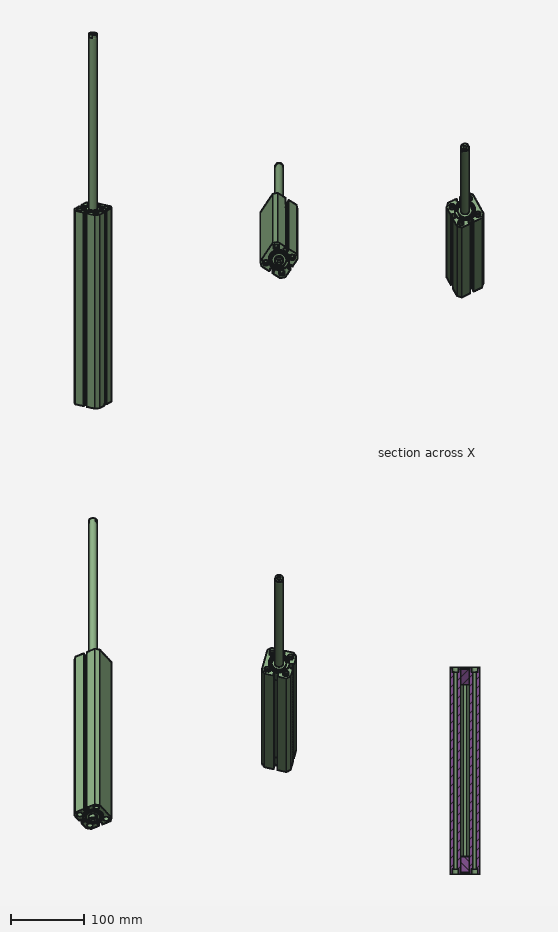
import cadquery as cq
import math

TOTAL_LENGTH = 545.0

HOUSING_WIDTH = 41.0
HOUSING_LENGTH = 283.0
HOUSING_BOTTOM = 6.5
HOUSING_TOP = HOUSING_BOTTOM + HOUSING_LENGTH
HOUSING_MIDDLE = (HOUSING_BOTTOM + HOUSING_TOP) / 2
CORNER_CHAMFER = 5.0

SLOT_MOUTH_WIDTH = 5.0
SLOT_INNER_WIDTH = 7.0
SLOT_FLOOR_WIDTH = 5.0
SLOT_LIP = 2.0
SLOT_DEPTH = 6.0
SLOT_ANGLES = (0, 180, 270)

HOLE_SPACING = 26.0
HOLE_DIAMETER = 4.5
COUNTERBORE_DIAMETER = 8.0
COUNTERBORE_DEPTH = 7.0

BORE_DIAMETER = 28.5

ROD_DIAMETER = 12.0
ROD_END_DIAMETER = 11.5
ROD_END_LENGTH = 4.5
ROD_END_CHAMFER = 0.25
SHOULDER_LENGTH = 1.0
WRENCH_WIDTH = 10.5
ROD_HOLE_DIAMETER = 5.0
ROD_HOLE_DEPTH = 12.0
DRILL_POINT_ANGLE = 118

COLLAR_LENGTH = 22.0
NOSE_DIAMETER = 19.5
NOSE_LENGTH = 2.5

RING_THICKNESS = 1.0
RING_WIDTH = 2.0
EAR_RADIUS = (BORE_DIAMETER - NOSE_DIAMETER) / 4
EAR_HOLE_DIAMETER = 1.5
EAR_ANGLE = 35

RING_SEAT = HOUSING_TOP - NOSE_LENGTH


def cylinder(diameter, bottom, length, x=0, y=0):
    return cq.Workplane("XY", origin=(x, y, bottom)).circle(diameter / 2).extrude(length)


def at_bottom_end(shape):
    """Mirror a top-end shape of the housing to its bottom end."""
    return shape.mirror("XY", (0, 0, HOUSING_MIDDLE))


def make_slot(angle):
    face = HOUSING_WIDTH / 2
    half_profile = [
        (face, SLOT_MOUTH_WIDTH / 2),
        (face - SLOT_LIP, SLOT_MOUTH_WIDTH / 2),
        (face - SLOT_LIP, SLOT_INNER_WIDTH / 2),
        (face - SLOT_DEPTH, SLOT_FLOOR_WIDTH / 2),
    ]
    other_half = [(x, -y) for x, y in reversed(half_profile)]
    slot = (
        cq.Workplane("XY", origin=(0, 0, HOUSING_BOTTOM))
        .polyline(half_profile + other_half)
        .close()
        .extrude(HOUSING_LENGTH)
    )
    return slot.rotate((0, 0, 0), (0, 0, 1), angle)


def make_corner_cylinders(diameter, depth):
    """Four cylinders that go down from the top face at the mounting-hole centres."""
    return (
        cq.Workplane("XY", origin=(0, 0, HOUSING_TOP))
        .rect(HOLE_SPACING, HOLE_SPACING, forConstruction=True)
        .vertices()
        .circle(diameter / 2)
        .extrude(-depth)
    )


def make_housing():
    body = (
        cq.Workplane("XY", origin=(0, 0, HOUSING_BOTTOM))
        .rect(HOUSING_WIDTH, HOUSING_WIDTH)
        .extrude(HOUSING_LENGTH)
        .edges("|Z")
        .chamfer(CORNER_CHAMFER)
    )
    for angle in SLOT_ANGLES:
        body = body.cut(make_slot(angle))

    body = body.cut(cylinder(BORE_DIAMETER, HOUSING_BOTTOM, HOUSING_LENGTH))
    body = body.cut(make_corner_cylinders(HOLE_DIAMETER, HOUSING_LENGTH))

    counterbores = make_corner_cylinders(COUNTERBORE_DIAMETER, COUNTERBORE_DEPTH)
    return body.cut(counterbores).cut(at_bottom_end(counterbores))


def make_rod_hole():
    """Tapped hole in the top end of the rod, with a drill point at its floor."""
    radius = ROD_HOLE_DIAMETER / 2
    floor = TOTAL_LENGTH - ROD_HOLE_DEPTH
    tip = floor - radius / math.tan(math.radians(DRILL_POINT_ANGLE / 2))
    return (
        cq.Workplane("XZ")
        .polyline([(0, tip), (radius, floor), (radius, TOTAL_LENGTH), (0, TOTAL_LENGTH)])
        .close()
        .revolve(360, (0, 0, 0), (0, 1, 0))
    )


def make_rod():
    shoulder_inset = (ROD_DIAMETER - ROD_END_DIAMETER) / 2
    middle = (
        cylinder(ROD_DIAMETER, ROD_END_LENGTH, TOTAL_LENGTH - 2 * ROD_END_LENGTH)
        .faces("<Z or >Z")
        .chamfer(SHOULDER_LENGTH, shoulder_inset)
    )
    flats = cq.Workplane("XY").rect(ROD_END_DIAMETER, WRENCH_WIDTH).extrude(TOTAL_LENGTH)
    ends = (
        cylinder(ROD_END_DIAMETER, 0, TOTAL_LENGTH)
        .faces("<Z or >Z")
        .chamfer(ROD_END_CHAMFER)
        .intersect(flats)
    )
    rod = middle.union(ends)

    hole = make_rod_hole()
    return rod.cut(hole).cut(hole.mirror("XY", (0, 0, TOTAL_LENGTH / 2)))


def make_collar():
    """Guide collar in the top of the bore, with a nose that rises to the housing's top face."""
    bottom = RING_SEAT - COLLAR_LENGTH
    collar = cylinder(BORE_DIAMETER, bottom, COLLAR_LENGTH)
    collar = collar.union(cylinder(NOSE_DIAMETER, RING_SEAT, NOSE_LENGTH))
    return collar.cut(cylinder(ROD_DIAMETER, bottom, COLLAR_LENGTH + NOSE_LENGTH))


def make_retaining_ring():
    """Open ring on the top collar, with a pierced ear on each side of its gap at -Y."""
    outer_radius = BORE_DIAMETER / 2
    ear_distance = outer_radius - EAR_RADIUS
    ear_x = ear_distance * math.sin(math.radians(EAR_ANGLE))
    ear_y = -ear_distance * math.cos(math.radians(EAR_ANGLE))

    ring = cylinder(BORE_DIAMETER, RING_SEAT, RING_THICKNESS)
    ring = ring.cut(cylinder(BORE_DIAMETER - 2 * RING_WIDTH, RING_SEAT, RING_THICKNESS))
    gap = (
        cq.Workplane("XY", origin=(0, -outer_radius, RING_SEAT))
        .rect(2 * ear_x, outer_radius)
        .extrude(RING_THICKNESS)
    )
    ring = ring.cut(gap)
    for x in (-ear_x, ear_x):
        ring = ring.union(cylinder(2 * EAR_RADIUS, RING_SEAT, RING_THICKNESS, x, ear_y))
        ring = ring.cut(cylinder(EAR_HOLE_DIAMETER, RING_SEAT, RING_THICKNESS, x, ear_y))
    return ring


housing = make_housing()
rod = make_rod()

collars = []
rings = []
for part, copies in ((make_collar(), collars), (make_retaining_ring(), rings)):
    for end_part in (part, at_bottom_end(part)):
        copies.append(end_part.val())

result = cq.Compound.makeCompound([housing.val(), rod.val(), *collars, *rings])